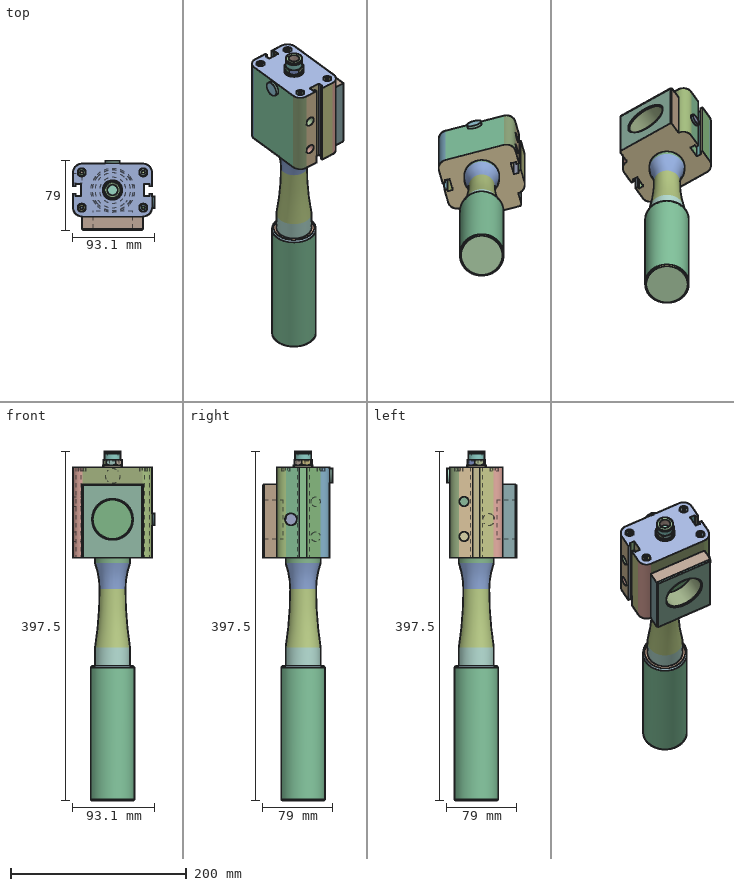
import cadquery as cq

TOTAL_HEIGHT = 397.5
HANDLE_TOP = 153.5
SHANK_TOP = 174.0
WAIST_HEIGHT = 240.5
COLLAR_BOTTOM = 270.5
BODY_BOTTOM = 276.5
BODY_TOP = 379.5

HANDLE_DIA = 50.0
HANDLE_TOP_CHAMFER = 2.0
HANDLE_BOTTOM_CHAMFER = 1.5
SHAFT_DIA = 40.0
WAIST_DIA = 30.0

BODY_WIDTH = 90.3
BODY_DEPTH = 60.5
CORNER_RADIUS = 10.7

BLOCK_WIDTH = 69.5
BLOCK_PROJECTION = 15.5
BLOCK_TOP = 360.3
BLOCK_CHAMFER = 1.5
WINDOW_DIA = 44.5
WINDOW_CHAMFER = 1.0
WINDOW_DEPTH = 22.3
WINDOW_HEIGHT = 320.0

SLOT_OPENING = 8.5
SLOT_INNER_WIDTH = 13.5
SLOT_LIP = 3.0
SLOT_DEPTH = 9.0

SCREW_SPACING_X = 70.0
SCREW_SPACING_Y = 40.0
SCREW_RECESS_DIA = 9.5
SCREW_RECESS_DEPTH = 4.0
SCREW_HEAD_DIA = 8.5
SCREW_HEAD_HEIGHT = 3.0
SCREW_SOCKET_DIA = 4.0
SCREW_SOCKET_DEPTH = 2.0

SIDE_HOLE_DIA = 10.7
SIDE_HOLE_DEPTH = 10.0
SIDE_HOLE_Y = 14.0
SIDE_HOLE_HEIGHTS = (300.5, 340.5)

BACK_BUTTON_DIA = 16.7
BACK_BUTTON_PROJECTION = 3.0
BACK_BUTTON_HEIGHT = 370.0
SIDE_BUTTON_DIA = 13.5
SIDE_BUTTON_PROJECTION = 2.8
SIDE_BUTTON_Y = -14.0
SIDE_BUTTON_HEIGHT = WINDOW_HEIGHT

FLANGE_DIA = 22.3
FLANGE_HEIGHT = 2.0
HEX_TOP = 387.7
HEX_ACROSS_CORNERS = 22.0
HEX_TURN = -9.0
CONNECTOR_DIA = 18.5
CONNECTOR_BORE_DIA = 12.0
CONNECTOR_BORE_DEPTH = 10.7
GROOVE_DEPTH = 0.8
GROOVE_WIDTH = 1.0
GROOVE_TOP = 396.0


def make_handle():
    handle = cq.Workplane("XY").circle(HANDLE_DIA / 2).extrude(HANDLE_TOP)
    handle = handle.faces(">Z").chamfer(HANDLE_TOP_CHAMFER)
    return handle.faces("<Z").chamfer(HANDLE_BOTTOM_CHAMFER)


def make_shaft_half(flare_end, end):
    """Half of the shaft: an arc leaves the waist vertically, then a straight length follows."""
    shaft_radius = SHAFT_DIA / 2
    waist_radius = WAIST_DIA / 2
    rise = flare_end - WAIST_HEIGHT
    growth = shaft_radius - waist_radius
    arc_radius = (rise**2 + growth**2) / (2 * growth)
    middle_rise = rise / 2
    middle_growth = arc_radius - (arc_radius**2 - middle_rise**2) ** 0.5
    return (
        cq.Workplane("XZ")
        .moveTo(0, WAIST_HEIGHT)
        .lineTo(waist_radius, WAIST_HEIGHT)
        .threePointArc(
            (waist_radius + middle_growth, WAIST_HEIGHT + middle_rise),
            (shaft_radius, flare_end),
        )
        .lineTo(shaft_radius, end)
        .lineTo(0, end)
        .close()
        .revolve(360, (0, 0, 0), (0, 1, 0))
    )


def make_body():
    body = (
        cq.Workplane("XY", origin=(0, 0, BODY_BOTTOM))
        .rect(BODY_WIDTH, BODY_DEPTH)
        .extrude(BODY_TOP - BODY_BOTTOM)
        .edges("|Z")
        .fillet(CORNER_RADIUS)
    )
    return body.union(make_lens_block())


def make_lens_block():
    """Block that reaches from the middle of the body out through its front face."""
    length = BODY_DEPTH / 2 + BLOCK_PROJECTION
    block = cq.Workplane("XY").box(
        BLOCK_WIDTH, length, BLOCK_TOP - BODY_BOTTOM, centered=(True, False, False)
    )
    block = block.translate((0, -length, BODY_BOTTOM))
    return block.faces("<Y").edges("|Z or >Z").chamfer(BLOCK_CHAMFER)


def make_window():
    """Round recess with a chamfered rim, sunk into the lens block."""
    front_y = -BODY_DEPTH / 2 - BLOCK_PROJECTION
    radius = WINDOW_DIA / 2
    rim_radius = radius + WINDOW_CHAMFER
    profile = (
        cq.Workplane("XY", origin=(0, front_y, WINDOW_HEIGHT))
        .lineTo(rim_radius, 0)
        .lineTo(radius, WINDOW_CHAMFER)
        .lineTo(radius, WINDOW_DEPTH)
        .lineTo(0, WINDOW_DEPTH)
        .close()
    )
    return profile.revolve(360, (0, 0, 0), (0, 1, 0))


def make_side_slot(side):
    """T-slot over the full body height; side is -1 or +1 along X."""
    face_x = BODY_WIDTH / 2
    plane = cq.Workplane("XY", origin=(0, 0, BODY_BOTTOM))
    height = BODY_TOP - BODY_BOTTOM
    inner_length = SLOT_DEPTH - SLOT_LIP
    opening_x = side * (face_x - SLOT_DEPTH / 2)
    inner_x = side * (face_x - SLOT_LIP - inner_length / 2)
    opening = plane.center(opening_x, 0).rect(SLOT_DEPTH, SLOT_OPENING).extrude(height)
    inner = plane.center(inner_x, 0).rect(inner_length, SLOT_INNER_WIDTH).extrude(height)
    return opening.union(inner)


def add_cover_screws(part):
    """Recessed hexagon socket screws at the four corners of the top face."""

    def screw_points(height):
        plane = cq.Workplane("XY", origin=(0, 0, height))
        return plane.rect(SCREW_SPACING_X, SCREW_SPACING_Y, forConstruction=True).vertices()

    recess_floor = BODY_TOP - SCREW_RECESS_DEPTH
    head_top = recess_floor + SCREW_HEAD_HEIGHT
    recesses = screw_points(BODY_TOP).circle(SCREW_RECESS_DIA / 2).extrude(-SCREW_RECESS_DEPTH)
    heads = screw_points(recess_floor).circle(SCREW_HEAD_DIA / 2).extrude(SCREW_HEAD_HEIGHT)
    sockets = screw_points(head_top).polygon(6, SCREW_SOCKET_DIA).extrude(-SCREW_SOCKET_DEPTH)
    return part.cut(recesses).union(heads).cut(sockets)


def make_side_holes():
    points = [(SIDE_HOLE_Y, height) for height in SIDE_HOLE_HEIGHTS]
    plane = cq.Workplane("YZ", origin=(-BODY_WIDTH / 2, 0, 0))
    return plane.pushPoints(points).circle(SIDE_HOLE_DIA / 2).extrude(SIDE_HOLE_DEPTH)


def make_back_button():
    plane = cq.Workplane("XZ", origin=(0, BODY_DEPTH / 2, BACK_BUTTON_HEIGHT))
    return plane.circle(BACK_BUTTON_DIA / 2).extrude(-BACK_BUTTON_PROJECTION)


def make_side_button():
    plane = cq.Workplane("YZ", origin=(BODY_WIDTH / 2, SIDE_BUTTON_Y, SIDE_BUTTON_HEIGHT))
    return plane.circle(SIDE_BUTTON_DIA / 2).extrude(SIDE_BUTTON_PROJECTION)


def make_connector_hexagon(bottom):
    """Hexagon whose lower corners are turned down conically to the barrel diameter."""
    base = cq.Workplane("XY", origin=(0, 0, bottom))
    height = HEX_TOP - bottom
    prism = base.polygon(6, HEX_ACROSS_CORNERS).extrude(height)
    prism = prism.rotate((0, 0, 0), (0, 0, 1), HEX_TURN)
    corner_turning = (HEX_ACROSS_CORNERS - CONNECTOR_DIA) / 2
    envelope = base.circle(HEX_ACROSS_CORNERS / 2).extrude(height).faces("<Z").chamfer(corner_turning)
    return prism.intersect(envelope)


def make_connector():
    """Flanged round connector with a hexagon, a groove near the top and a blind bore."""
    base = cq.Workplane("XY", origin=(0, 0, BODY_TOP))
    flange = base.circle(FLANGE_DIA / 2).extrude(FLANGE_HEIGHT)
    barrel = base.circle(CONNECTOR_DIA / 2).extrude(TOTAL_HEIGHT - BODY_TOP)
    hexagon = make_connector_hexagon(BODY_TOP + FLANGE_HEIGHT)
    groove = (
        cq.Workplane("XY", origin=(0, 0, GROOVE_TOP))
        .circle(CONNECTOR_DIA / 2)
        .circle(CONNECTOR_DIA / 2 - GROOVE_DEPTH)
        .extrude(-GROOVE_WIDTH)
    )
    bore = (
        cq.Workplane("XY", origin=(0, 0, TOTAL_HEIGHT))
        .circle(CONNECTOR_BORE_DIA / 2)
        .extrude(-CONNECTOR_BORE_DEPTH)
    )
    return flange.union(barrel).union(hexagon).cut(groove).cut(bore)


part = make_body().cut(make_window()).cut(make_side_holes())
for side in (-1, 1):
    part = part.cut(make_side_slot(side))
part = add_cover_screws(part)
part = part.union(make_back_button()).union(make_side_button()).union(make_connector())
part = part.union(make_shaft_half(COLLAR_BOTTOM, BODY_BOTTOM))
part = part.union(make_shaft_half(SHANK_TOP, HANDLE_TOP))
result = part.union(make_handle())